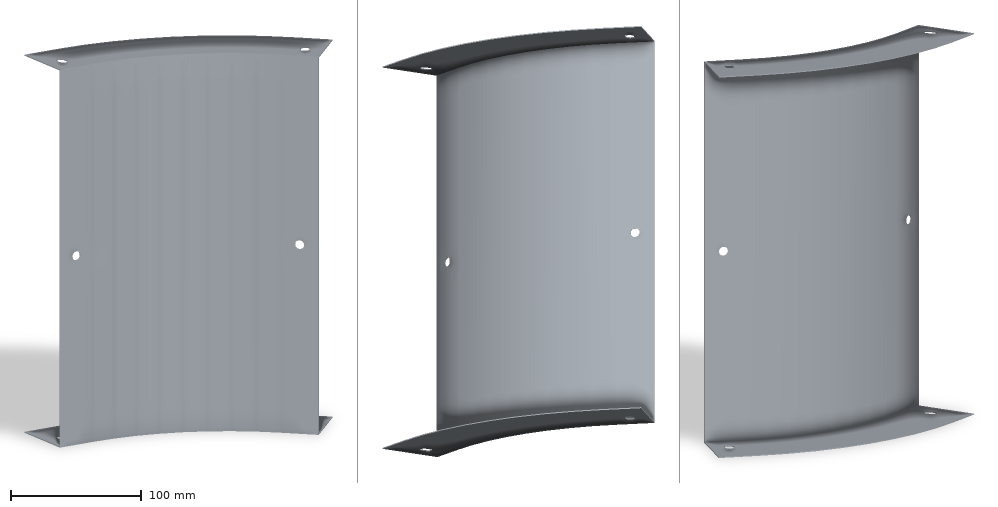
import cadquery as cq
import math

HEIGHT = 300.0
FLANGE_WIDTH = 50.0
SHEET = 0.8
OUTER_RADIUS = 240.0
BEND_ANGLE = 45.0
END_LENGTH = 30.0

HOLE_DIAMETER = 7.0
HOLE_END_DISTANCE = END_LENGTH / 2
SLOT_LENGTH = 10.5
SLOT_OFFSET = 30.0

INNER_RADIUS = OUTER_RADIUS - FLANGE_WIDTH


def arc_point(radius, angle):
    """Point on an arc about the bend centre, angle measured from the -X direction."""
    turn = math.radians(angle)
    return OUTER_RADIUS - radius * math.cos(turn), END_LENGTH + radius * math.sin(turn)


def far_end_point(radius):
    """End of the second straight, tangent to the arc of the given radius."""
    turn = math.radians(BEND_ANGLE)
    x, y = arc_point(radius, BEND_ANGLE)
    return x + END_LENGTH * math.sin(turn), y + END_LENGTH * math.cos(turn)


def curved_band(outer_radius, inner_radius, height):
    """Solid strip between two parallel paths, standing on the XY plane."""
    return (
        cq.Workplane("XY")
        .moveTo(OUTER_RADIUS - outer_radius, 0)
        .lineTo(*arc_point(outer_radius, 0))
        .threePointArc(arc_point(outer_radius, BEND_ANGLE / 2), arc_point(outer_radius, BEND_ANGLE))
        .lineTo(*far_end_point(outer_radius))
        .lineTo(*far_end_point(inner_radius))
        .lineTo(*arc_point(inner_radius, BEND_ANGLE))
        .threePointArc(arc_point(inner_radius, BEND_ANGLE / 2), arc_point(inner_radius, 0))
        .lineTo(OUTER_RADIUS - inner_radius, 0)
        .close()
        .extrude(height)
    )


def channel():
    """Two flanges joined by a wall that follows the inner radius."""
    blank = curved_band(OUTER_RADIUS, INNER_RADIUS, HEIGHT)
    hollow = curved_band(OUTER_RADIUS, INNER_RADIUS + SHEET, HEIGHT - 2 * SHEET)
    return blank.cut(hollow.translate((0, 0, SHEET)))


def end_hole_cutters():
    """Cutters for the first end: slots through both flanges, round hole through the wall."""
    slots = (
        cq.Workplane("XY")
        .center(SLOT_OFFSET, HOLE_END_DISTANCE)
        .slot2D(SLOT_LENGTH, HOLE_DIAMETER)
        .extrude(HEIGHT)
    )
    wall_hole = (
        cq.Workplane("YZ")
        .center(HOLE_END_DISTANCE, HEIGHT / 2)
        .circle(HOLE_DIAMETER / 2)
        .extrude(FLANGE_WIDTH)
    )
    return slots.union(wall_hole)


def mirror_to_far_end(cutters):
    """Mirror image about the radial plane that halves the bend."""
    half_turn = math.radians(BEND_ANGLE / 2)
    normal = cq.Vector(math.sin(half_turn), math.cos(half_turn), 0)
    return cutters.mirror(normal, (OUTER_RADIUS, END_LENGTH, 0))


near_cutters = end_hole_cutters()
result = channel().cut(near_cutters).cut(mirror_to_far_end(near_cutters))